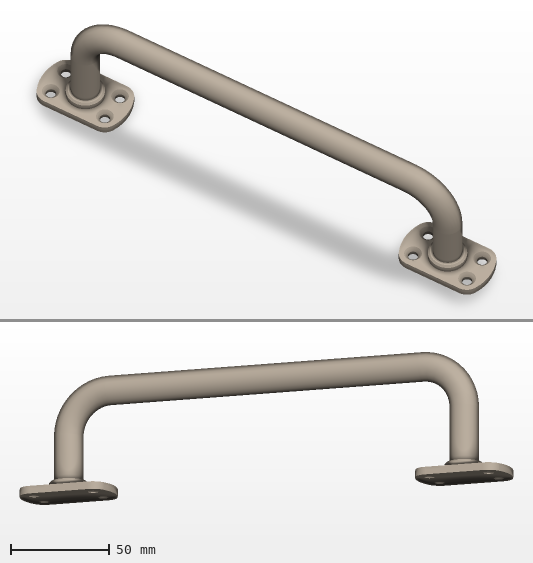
import cadquery as cq

overall_length = 264.5
overall_height = 67.0

foot_length = 50.0
foot_width = 30.0
foot_thickness = 4.0
foot_corner_radius = 7.7
right_foot_rise = 5.5
collar_diameter = 20.0
collar_height = 4.0
collar_chamfer = 1.0
screw_diameter = 5.3
screw_head_diameter = 9.0
screw_head_angle = 90.0
screw_spacing_x = 32.0
screw_spacing_y = 15.0

bar_diameter = 15.0
bend_radius = 22.5

leg_x = (overall_length - foot_length) / 2
bar_axis_z = overall_height - bar_diameter / 2
bend_start_z = bar_axis_z - bend_radius
foot_height = foot_thickness + collar_height


def make_foot(x, bottom_z):
    """Foot plate with round ends, four countersunk screw holes and a collar for the bar."""
    end_disc = cq.Workplane("XY").circle(foot_length / 2).extrude(foot_thickness)
    plate = (
        cq.Workplane("XY")
        .rect(foot_length, foot_width)
        .extrude(foot_thickness)
        .intersect(end_disc)
        .edges("|Z")
        .fillet(foot_corner_radius)
    )
    plate = (
        plate.faces(">Z")
        .workplane(origin=(0, 0, foot_thickness))
        .rarray(screw_spacing_x, screw_spacing_y, 2, 2)
        .cskHole(screw_diameter, screw_head_diameter, screw_head_angle)
    )
    collar = (
        cq.Workplane("XY", origin=(0, 0, foot_thickness))
        .circle(collar_diameter / 2)
        .extrude(collar_height)
        .faces(">Z")
        .chamfer(collar_chamfer)
    )
    return plate.union(collar).translate((x, 0, bottom_z))


def make_bar():
    """Round bar swept up one leg, across the grip and down the shorter leg."""
    left_end_z = foot_height
    right_end_z = right_foot_rise + foot_height
    grip_end_x = leg_x - bend_radius
    path = (
        cq.Workplane("XZ")
        .moveTo(-leg_x, left_end_z)
        .lineTo(-leg_x, bend_start_z)
        .radiusArc((-grip_end_x, bar_axis_z), bend_radius)
        .lineTo(grip_end_x, bar_axis_z)
        .radiusArc((leg_x, bend_start_z), bend_radius)
        .lineTo(leg_x, right_end_z)
    )
    profile = cq.Workplane("XY", origin=(-leg_x, 0, left_end_z)).circle(bar_diameter / 2)
    return profile.sweep(path)


bar = make_bar()
feet = [make_foot(x, bottom_z).val() for x, bottom_z in [(-leg_x, 0), (leg_x, right_foot_rise)]]

result = cq.Compound.makeCompound([bar.val(), *feet])